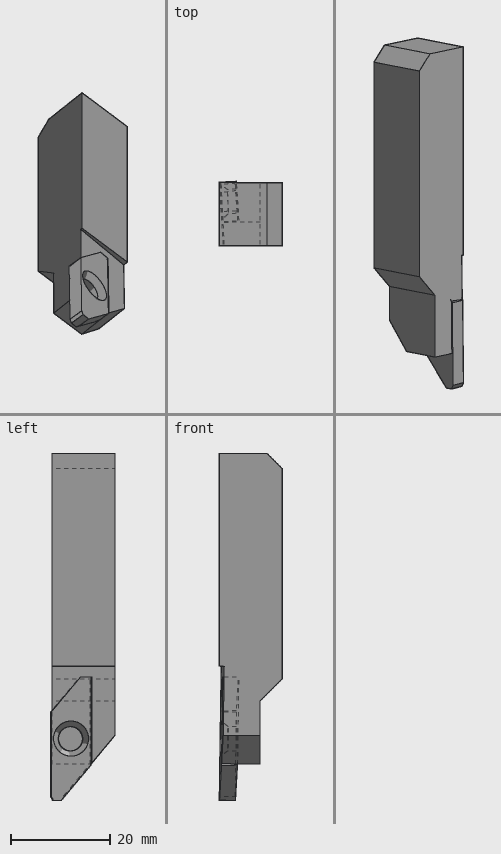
import cadquery as cq

length = 70.0
width = 12.75
depth = 12.75
top_chamfer = 3.1

head_width = 8.25
shoulder_low = 20.1
shoulder_high = shoulder_low + (width - head_width)
head_bottom = 7.35
head_bevel_top = 13.15
head_bevel_run = 4.8

face_top = 27.1
face_slope_y = 0.05
face_slope_z = 0.0145
cut_margin = 3.5

insert_thickness = 3.2
insert_length = 24.9
insert_width = 8.0
insert_overhang = 0.105
insert_long_side = 17.85
blunt_width = 1.6
corner_width = 0.4
corner_height = 0.85
relief_start = 2.3
flank_relief = 0.2
insert_left = -insert_overhang
insert_right = insert_left + insert_width
seat_gap = 0.2

hole_diameter = 4.9
countersink_diameter = 7.1
countersink_depth = 1.4

face_rise = insert_thickness * face_slope_z
face_plane = cq.Plane(
    origin=(0, depth, face_rise),
    xDir=(face_slope_y, -1, 0),
    normal=(-1, -face_slope_y, face_slope_z),
)


def insert_outline(relief=0.0):
    """Corners of the insert; relief moves its lower slanted side inward."""
    slant = (insert_length - insert_long_side) / (insert_width - blunt_width - corner_width)
    return [
        (insert_left, corner_height),
        (insert_left + corner_width, 0),
        (insert_left + corner_width + blunt_width - relief, 0),
        (insert_right, insert_length - insert_long_side + relief * slant),
        (insert_right, insert_length),
        (insert_right - corner_width - blunt_width, insert_length),
        (insert_left, insert_long_side),
    ]


def make_pocket():
    """Room for the insert, with a clearance gap along the pocket's long wall."""
    seat = cq.Workplane(face_plane).polyline(insert_outline()).close().extrude(-insert_thickness)
    wall_gap = (
        cq.Workplane(face_plane)
        .moveTo(insert_right, 0)
        .rect(seat_gap, insert_length, centered=False)
        .extrude(-insert_thickness)
    )
    return seat.union(wall_gap)


def make_holder():
    profile = [
        (0, head_bottom),
        (head_width, head_bottom),
        (head_width, shoulder_low),
        (width, shoulder_high),
        (width, length - top_chamfer),
        (width - top_chamfer, length),
        (0, length),
    ]
    body = cq.Workplane("XZ").polyline(profile).close().extrude(-depth)

    bevel = (
        cq.Workplane("YZ")
        .polyline([(0, head_bevel_top), (head_bevel_run, head_bottom), (0, head_bottom)])
        .close()
        .extrude(head_width)
    )

    face_cut = (
        cq.Workplane(face_plane)
        .moveTo(-cut_margin, 0)
        .rect(depth + 2 * cut_margin, face_top - face_rise, centered=False)
        .extrude(cut_margin)
    )
    return body.cut(bevel).cut(face_cut).cut(make_pocket())


def make_screw_hole():
    centre = ((insert_left + insert_right) / 2, insert_length / 2)
    bore = (
        cq.Workplane(face_plane)
        .center(*centre)
        .circle(hole_diameter / 2)
        .extrude(-insert_thickness)
    )
    countersink = (
        cq.Workplane(face_plane)
        .center(*centre)
        .circle(countersink_diameter / 2)
        .workplane(offset=-countersink_depth)
        .circle(hole_diameter / 2)
        .loft()
    )
    return bore.union(countersink)


def make_insert():
    front_slab = cq.Workplane(face_plane).polyline(insert_outline()).close().extrude(-relief_start)
    back_slab = (
        cq.Workplane(face_plane)
        .workplane(offset=-relief_start)
        .polyline(insert_outline())
        .close()
        .workplane(offset=relief_start - insert_thickness)
        .polyline(insert_outline(flank_relief))
        .close()
        .loft(ruled=True)
    )
    return front_slab.union(back_slab).cut(make_screw_hole())


holder = make_holder()
insert = make_insert()
result = cq.Compound.makeCompound([holder.val(), insert.val()])